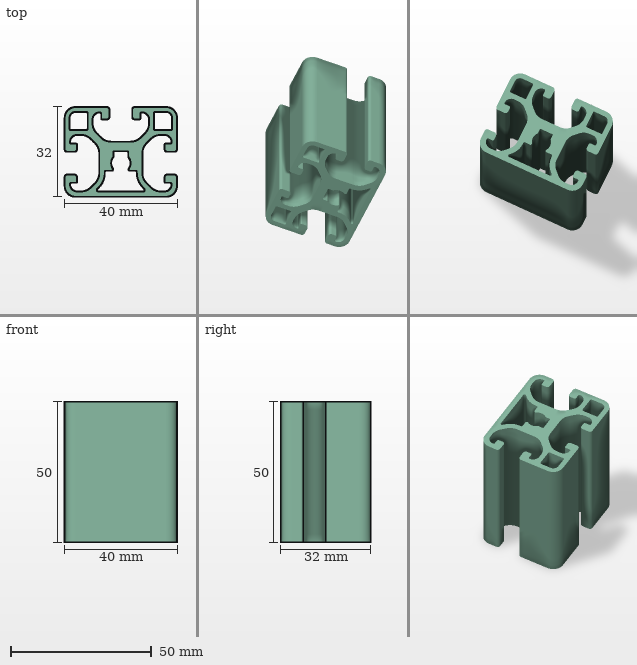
import cadquery as cq
import math

LENGTH = 50.0
REACH = 20.0
BASE_REACH = 12.0
CORNER_RADIUS = 4.0

MOUTH_HALF = 4.0
LIP_THICKNESS = 4.5
LIP_HALF = 7.0
LIP_OUTER_RADIUS = 1.0
LIP_INNER_RADIUS = 1.0
HOOK_TIP_RADIUS = 0.5
HOOK_ROOT_RADIUS = 0.4
SKIN = 2.0
SLOT_HALF = 10.0
SLOT_FLOOR = 7.7
SLOT_CHAMFER = 4.4
SLOT_CORNER_RADIUS = 2.5
SLOT_BEND_RADIUS = 5.0

HOLLOW_WALL = 1.85
HOLLOW_SIZE = 6.35
HOLLOW_OUTER_RADIUS = 2.0
HOLLOW_RADIUS = 0.4

BORE_RADIUS = 3.4
NECK_HALF = 2.55
NECK_TOP = 4.2
NECK_RADIUS = 0.2
LEDGE = -2.7
LEDGE_LIP_RADIUS = 0.5
CHAMBER_HALF = 5.65
CHAMBER_RADIUS = 0.4
CHAMBER_TIP_RADIUS = 0.5


def toward(start, target, distance):
    """Point at a distance from start on the line to target."""
    ratio = distance / math.dist(start, target)
    return tuple(a + (b - a) * ratio for a, b in zip(start, target))


def rounded_prism(corners):
    """Extrude a closed outline of (x, y, radius) corners, each rounded by a tangent arc."""
    arcs = []
    for i, (x, y, radius) in enumerate(corners):
        corner = (x, y)
        before = corners[i - 1][:2]
        after = corners[(i + 1) % len(corners)][:2]
        ray_in = toward(corner, before, 0.5)
        ray_out = toward(corner, after, 0.5)
        half_angle = math.asin(math.dist(ray_in, ray_out) / 1)
        setback = radius / math.tan(half_angle)
        bisector = ((ray_in[0] + ray_out[0]) / 2, (ray_in[1] + ray_out[1]) / 2)
        middle = toward(corner, bisector, radius / math.sin(half_angle) - radius)
        arcs.append((toward(corner, before, setback), middle, toward(corner, after, setback)))

    outline = cq.Workplane("XY").moveTo(*arcs[0][2])
    for start, middle, end in arcs[1:] + arcs[:1]:
        outline = outline.lineTo(*start).threePointArc(middle, end)
    return outline.close().extrude(LENGTH)


def mirrored(half):
    """Add the X-mirrored half to a run of corners, keeping one direction of travel."""
    return half + [(-x, y, radius) for x, y, radius in reversed(half)]


def slot_corners(quarter_turns):
    """T-slot corners, opening toward +Y and then turned about the core axis."""
    half = [
        (MOUTH_HALF, REACH, LIP_OUTER_RADIUS),
        (MOUTH_HALF, REACH - LIP_THICKNESS, LIP_INNER_RADIUS),
        (LIP_HALF, REACH - LIP_THICKNESS, HOOK_TIP_RADIUS),
        (LIP_HALF, REACH - SKIN, HOOK_ROOT_RADIUS),
        (SLOT_HALF, REACH - SKIN, SLOT_CORNER_RADIUS),
        (SLOT_HALF, SLOT_FLOOR + SLOT_CHAMFER, SLOT_BEND_RADIUS),
        (SLOT_HALF - SLOT_CHAMFER, SLOT_FLOOR, SLOT_BEND_RADIUS),
    ]
    corners = mirrored(half)
    for _ in range(quarter_turns):
        corners = [(-y, x, radius) for x, y, radius in corners]
    return corners


def slotted_body():
    return rounded_prism(
        [(-REACH, -BASE_REACH, CORNER_RADIUS), (REACH, -BASE_REACH, CORNER_RADIUS)]
        + slot_corners(3)
        + [(REACH, REACH, CORNER_RADIUS)]
        + slot_corners(0)
        + [(-REACH, REACH, CORNER_RADIUS)]
        + slot_corners(1)
    )


def corner_hollow(side):
    """Square hollow in the upper corner on the given side (+1 or -1)."""
    outer = REACH - HOLLOW_WALL
    inner = outer - HOLLOW_SIZE
    return rounded_prism([
        (side * outer, outer, HOLLOW_OUTER_RADIUS),
        (side * inner, outer, HOLLOW_RADIUS),
        (side * inner, inner, HOLLOW_RADIUS),
        (side * outer, inner, HOLLOW_RADIUS),
    ])


def core_cavity():
    bend_x = SLOT_FLOOR + SLOT_BEND_RADIUS
    bend_y = SLOT_CHAMFER - SLOT_HALF + SLOT_BEND_RADIUS * math.tan(math.pi / 8)
    wall_radius = bend_x - CHAMBER_HALF
    turn_y = bend_y - wall_radius * math.tan(math.pi / 8)
    tip_x = CHAMBER_HALF + turn_y + SLOT_HALF
    chamber = rounded_prism(mirrored([
        (CHAMBER_HALF, LEDGE, CHAMBER_RADIUS),
        (CHAMBER_HALF, turn_y, wall_radius),
        (tip_x, -SLOT_HALF, CHAMBER_TIP_RADIUS),
    ]))
    neck = rounded_prism(mirrored([
        (NECK_HALF, 0, NECK_RADIUS),
        (NECK_HALF, NECK_TOP, NECK_RADIUS),
    ]))
    bore = cq.Workplane("XY").circle(BORE_RADIUS).extrude(LENGTH)
    cavity = chamber.union(neck).union(bore)

    ledge_x = math.sqrt(BORE_RADIUS**2 - LEDGE**2)
    for side in (-1, 1):
        ledge_edge = cq.selectors.NearestToPointSelector((side * ledge_x, LEDGE, LENGTH / 2))
        cavity = cavity.edges("|Z").edges(ledge_edge).fillet(LEDGE_LIP_RADIUS)
    return cavity


result = slotted_body().cut(core_cavity())
for side in (-1, 1):
    result = result.cut(corner_hollow(side))